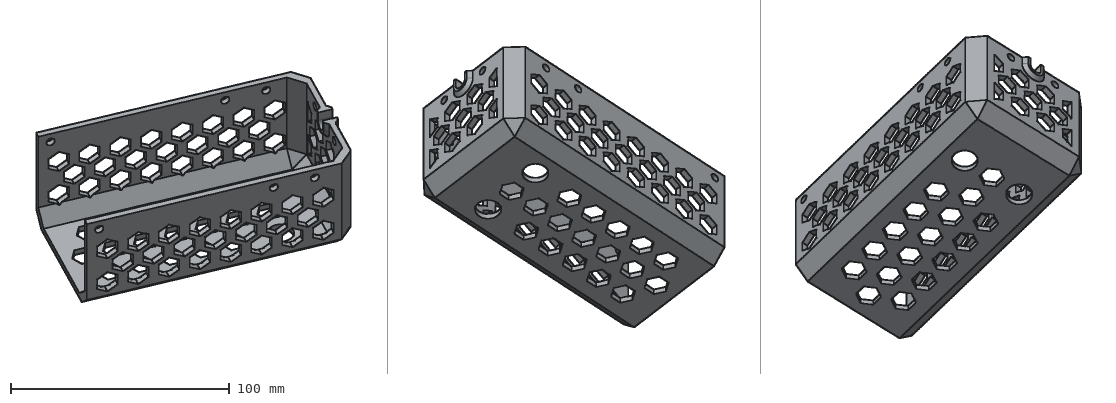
import cadquery as cq
import math

width = 68.0
overall_length = 133.0
height = 53.0
collar_projection = 2.0
body_length = overall_length - collar_projection

wall = 3.0
corner_chamfer = 7.0
back_inner_y = body_length - wall

hex_across_flats = 10.0
hex_diameter = hex_across_flats / math.cos(math.pi / 6)
side_vent_z = 25.0
side_vent_start_y = 10.0
side_vent_run = 105.1
side_vent_count = 8

hex_pitch = side_vent_run / (side_vent_count - 1)
row_spacing = 10.0

back_vent_z = 27.0
back_vent_half_width = 22.6

floor_vent_start_y = 10.9
floor_vent_count = 7
floor_column_offset = 14.5
floor_column_count = 5

floor_hole_diameter = 12.0
floor_hole_offset = 16.0
screw_hole_diameter = 4.0
screw_hole_z = height - 4.9
side_screw_ys = (6.0, 91.0, 110.9)
back_screw_offset = 12.9

notch_width = 6.0
notch_centre_z = height - 4.5
collar_width = 12.9


def chamfered_block(block_width, block_length, block_height):
    """Block with its front face at Y = 0, chamfered on the bottom, back and side corners."""
    block = cq.Workplane("XY").box(block_width, block_length, block_height, centered=(True, False, False))
    lower_side_edges = block.faces("<Z").edges("|Y")
    back_edges = block.faces(">Y").edges("not >Z")
    return block.newObject(lower_side_edges.vals() + back_edges.vals()).chamfer(corner_chamfer)


def hex_prisms(plane, centres, depth):
    """Hexagonal prisms with corners along the local Y axis, extruded evenly both ways from the plane."""
    corners = [
        (hex_diameter / 2 * math.sin(i * math.pi / 3), hex_diameter / 2 * math.cos(i * math.pi / 3))
        for i in range(6)
    ]
    prisms = cq.Workplane(plane)
    for x, y in centres:
        prisms = prisms.moveTo(x + corners[0][0], y + corners[0][1])
        for corner_x, corner_y in corners[1:]:
            prisms = prisms.lineTo(x + corner_x, y + corner_y)
        prisms = prisms.close()
    return prisms.extrude(depth, both=True)


def evenly_spaced(start, count):
    return [start + i * hex_pitch for i in range(count)]


def centred(count):
    return evenly_spaced(-(count - 1) / 2 * hex_pitch, count)


def u_block(u_width, y_start, y_end):
    """Upright block along Y with a round bottom about the notch centre, flush with the top."""
    radius = u_width / 2
    return (
        cq.Workplane("XZ", origin=(0, y_start, 0))
        .moveTo(-radius, height)
        .lineTo(-radius, notch_centre_z)
        .threePointArc((0, notch_centre_z - radius), (radius, notch_centre_z))
        .lineTo(radius, height)
        .close()
        .extrude(y_start - y_end)
    )


cavity = chamfered_block(width - 2 * wall, back_inner_y, height - wall)
tray = chamfered_block(width, body_length, height).cut(cavity.translate((0, 0, wall)))

collar_start_y = back_inner_y - collar_projection
collar = u_block(collar_width, collar_start_y, overall_length)
collar = collar.faces("<Y or >Y").edges("not >Z").chamfer(collar_projection)
notch = u_block(notch_width, collar_start_y, overall_length)
tray = tray.union(collar).cut(notch)

side_centres = []
for row in (-1, 0, 1):
    stagger = 0 if row else 1
    ys = evenly_spaced(side_vent_start_y + stagger * hex_pitch / 2, side_vent_count - stagger)
    side_centres += [(y, side_vent_z + row * row_spacing) for y in ys]
tray = tray.cut(hex_prisms("YZ", side_centres, width))

back_centres = []
for row in (-1, 0, 1):
    xs = centred(4 if row else 3)
    back_centres += [(x, back_vent_z + row * row_spacing) for x in xs]
back_field = cq.Workplane("XY").box(2 * back_vent_half_width, 2 * overall_length, 2 * height)
tray = tray.cut(hex_prisms("XZ", back_centres, overall_length).intersect(back_field))

floor_centres = [(0, y) for y in evenly_spaced(floor_vent_start_y, floor_vent_count)]
for x in (-floor_column_offset, floor_column_offset):
    floor_centres += [(x, y) for y in evenly_spaced(floor_vent_start_y + hex_pitch / 2, floor_column_count)]
tray = tray.cut(hex_prisms("XY", floor_centres, wall))

floor_hole_y = floor_centres[floor_vent_count - 1][1]
floor_holes = (
    cq.Workplane("XY")
    .pushPoints([(-floor_hole_offset, floor_hole_y), (floor_hole_offset, floor_hole_y)])
    .circle(floor_hole_diameter / 2)
    .extrude(wall)
)

side_screw_holes = (
    cq.Workplane("YZ")
    .pushPoints([(y, screw_hole_z) for y in side_screw_ys])
    .circle(screw_hole_diameter / 2)
    .extrude(width, both=True)
)
back_screw_holes = (
    cq.Workplane("XZ")
    .pushPoints([(x, screw_hole_z) for x in (-back_screw_offset, back_screw_offset)])
    .circle(screw_hole_diameter / 2)
    .extrude(-overall_length)
)

result = tray.cut(floor_holes).cut(side_screw_holes).cut(back_screw_holes)